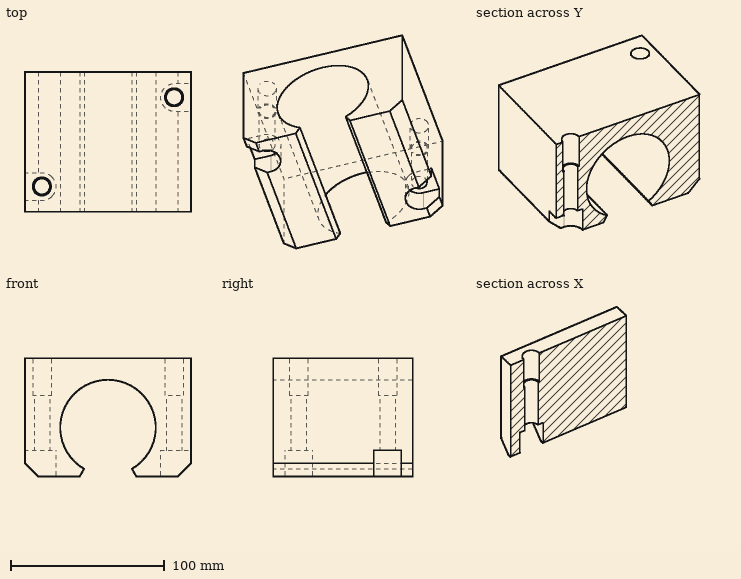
import cadquery as cq
import math

width = 108.0
length = 91.0
height = 77.0
chamfer = 8.5

bore_diameter = 62.0
bore_axis_z = 31.9
opening_half_angle = 30.0

hole_spacing_x = 86.0
hole_spacing_y = 58.0
hole_diameter = 10.3
upper_hole_diameter = 12.0
upper_hole_depth = 2 * upper_hole_diameter

slot_width = 17.9
slot_height = 17.0


def make_block():
    block = cq.Workplane("XY").box(width, length, height, centered=(True, True, False))
    return block.edges("<Z and |Y").chamfer(chamfer)


def make_bore():
    cylinder = (
        cq.Workplane("XZ")
        .center(0, bore_axis_z)
        .circle(bore_diameter / 2)
        .extrude(length / 2, both=True)
    )
    base_half_width = bore_axis_z * math.tan(math.radians(opening_half_angle))
    opening = (
        cq.Workplane("XZ")
        .polyline([(0, bore_axis_z), (-base_half_width, 0), (base_half_width, 0)])
        .close()
        .extrude(length / 2, both=True)
    )
    return cylinder.union(opening)


def make_mounting_hole(side):
    """Hole and screw slot; side is -1 for the -X, -Y corner and 1 for the opposite one."""
    x = side * hole_spacing_x / 2
    y = side * hole_spacing_y / 2
    base = cq.Workplane("XY").center(x, y)
    hole = base.circle(hole_diameter / 2).extrude(height)
    upper_hole = (
        base.workplane(offset=height)
        .circle(upper_hole_diameter / 2)
        .extrude(-upper_hole_depth)
    )
    slot_end = base.circle(slot_width / 2).extrude(slot_height)
    edge_distance = (width - hole_spacing_x) / 2
    slot_run = (
        base.center(side * edge_distance / 2, 0)
        .rect(edge_distance, slot_width)
        .extrude(slot_height)
    )
    return hole.union(upper_hole).union(slot_end).union(slot_run)


result = make_block().cut(make_bore())
for corner_side in (-1, 1):
    result = result.cut(make_mounting_hole(corner_side))